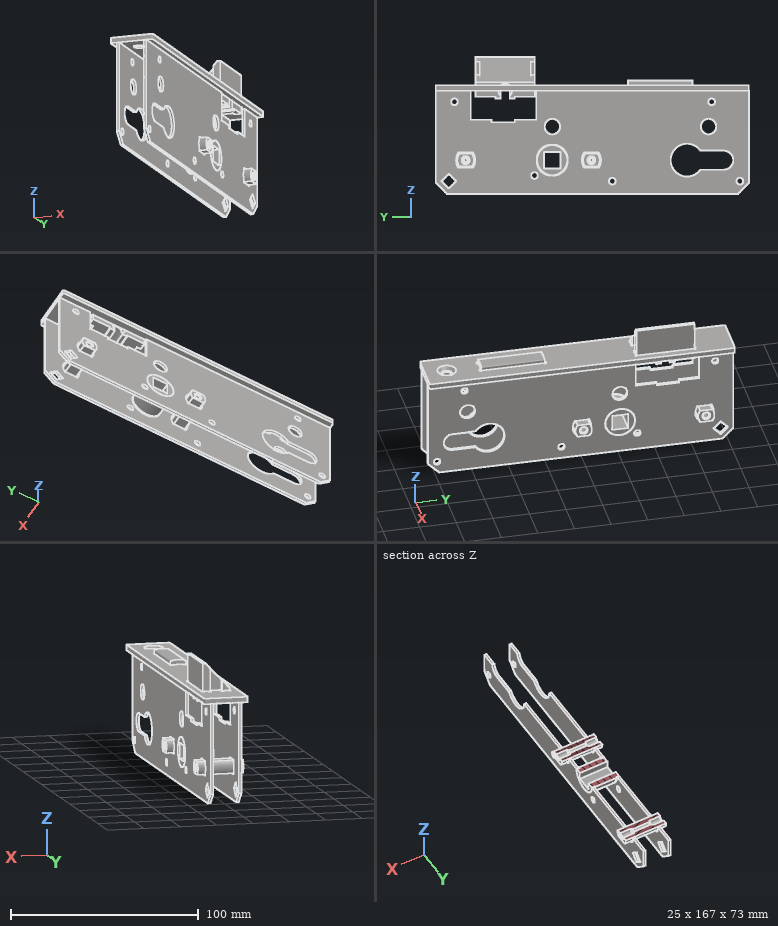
import cadquery as cq
import math


FACE_LENGTH = 166.8
FACE_WIDTH = 24.0
FACE_THICKNESS = 3.0
FACE_CORNER_RADIUS = 1.0
FACE_BOTTOM = 55.0
FACE_TOP = FACE_BOTTOM + FACE_THICKNESS
SCREW_Y = -71.5
SCREW_HOLE_DIA = 6.0
SCREW_HEAD_DIA = 10.0
SCREW_HEAD_ANGLE = 90

PLATE_LENGTH = FACE_LENGTH
PLATE_THICKNESS = 1.5
PLATE_INNER_X = 7.0
PLATE_OUTER_X = PLATE_INNER_X + PLATE_THICKNESS
PLATE_CHAMFER = 6.0
RIGHT_PLATE_SHIFT = -0.2
RIVET_HOLE_DIA = 3.5
RIVET_HOLES = [(73.5, 49.1), (-63.5, 49.1), (30.9, 9.9), (-10.5, 6.8), (-78.5, 6.8)]
ROSE_HOLE_DIA = 8.2
ROSE_HOLES = [(21.4, 35.9), (-61.8, 35.9)]
DIAMOND_Y = 76.5
DIAMOND_Z = 6.8
DIAMOND_SIDE = 5.5

WINDOW_Y_MIN = 29.9
WINDOW_Y_MAX = 64.6
WINDOW_BOTTOM = 39.5
WINDOW_STEP_Y_MIN = 41.4
WINDOW_STEP_Y_MAX = 53.6
WINDOW_STEP_DEPTH = 1.3

AXIS_Z = 18.0
KEYHOLE_Y = -50.5
KEYHOLE_RADIUS = 8.7
KEYHOLE_SLOT_WIDTH = 10.0
KEYHOLE_SLOT_END_Y = -75.0

HUB_Y = 21.4
HUB_RADIUS = 8.5
HUB_JOURNAL_RADIUS = 8.0
HUB_PLATE_HOLE_RADIUS = 8.2
HUB_BARREL_HALF_LENGTH = 6.5
HUB_SQUARE = 8.7

POST_YS = [67.5, 0.5]
POST_LENGTH = 25.0
POST_HALF_HEIGHT = 3.5
POST_HALF_WIDTH = 4.5
POST_CORNER_HALF_WIDTH = 3.3
POST_CLEARANCE = 0.5
POST_BORE_RADIUS = 0.8
POST_SOCKET_RADIUS = 1.7
POST_SOCKET_DEPTH = 6.7
POST_SINK_RADIUS = 2.2

LATCH_Y_MIN = 30.5
LATCH_Y_MAX = 62.3
LATCH_HALF_WIDTH = 7.3
LATCH_BOTTOM = 51.8
LATCH_TOP = 73.0
LATCH_TOP_X = 5.7
LATCH_BEVEL_BOTTOM = 59.5
LATCH_NOTCH_HALF_WIDTH = 3.3
LATCH_NOTCH_DEPTH = 2.3
LATCH_FOOT_LENGTH = 10.4
LATCH_FOOT_BOTTOM = 50.8
LATCH_BORE_Z = 55.1
LATCH_BORE_RADIUS = 2.3
LATCH_SINK_RADIUS = 3.7
LATCH_CENTRE_Y = (LATCH_Y_MIN + LATCH_Y_MAX) / 2
LATCH_LENGTH = LATCH_Y_MAX - LATCH_Y_MIN

LATCH_SIDE_GAP = 0.5
LATCH_END_GAP = 0.2
LATCH_RELIEF_RADIUS = 0.7

BOLT_Y_MIN = -53.5
BOLT_Y_MAX = -18.9
BOLT_HALF_WIDTH = 4.3
BOLT_BOTTOM = 43.5
BOLT_TOP = 60.5
BOLT_CROWN_HEIGHT = 1.0
BOLT_FLAT_HALF_WIDTH = 0.8
BOLT_RELIEF_RADIUS = 0.7
BOLT_RELIEF_OFFSET = 0.3
BOLT_LENGTH = BOLT_Y_MAX - BOLT_Y_MIN


def box_between(x_min, x_max, y_min, y_max, z_min, z_max):
    """Axis-aligned box given by its limits."""
    size = (x_max - x_min, y_max - y_min, z_max - z_min)
    return cq.Workplane("XY").box(*size, centered=False).translate((x_min, y_min, z_min))


def rod_along_x(x_min, x_max, y, z, radius):
    """Cylinder parallel to X."""
    return cq.Workplane("YZ", origin=(x_min, y, z)).circle(radius).extrude(x_max - x_min)


def post_prism(x_min, x_max, y, clearance=0.0):
    """Post section, flat above and below with bulging sides, extruded along X."""
    height = POST_HALF_HEIGHT + clearance
    corner = POST_CORNER_HALF_WIDTH + clearance
    width = POST_HALF_WIDTH + clearance
    return (
        cq.Workplane("YZ", origin=(x_min, y, AXIS_Z))
        .moveTo(-corner, height)
        .lineTo(corner, height)
        .threePointArc((width, 0), (corner, -height))
        .lineTo(-corner, -height)
        .threePointArc((-width, 0), (-corner, height))
        .close()
        .extrude(x_max - x_min)
    )


def corner_reliefs(centres, radius):
    """Vertical relief holes through the faceplate."""
    return (
        cq.Workplane("XY", origin=(0, 0, FACE_BOTTOM))
        .pushPoints(centres)
        .circle(radius)
        .extrude(FACE_THICKNESS)
    )


def latch_opening():
    """H-shaped opening around the notched latch, with relieved corners."""
    half_width = LATCH_HALF_WIDTH + LATCH_SIDE_GAP
    tongue = LATCH_NOTCH_HALF_WIDTH - LATCH_SIDE_GAP
    half_length = LATCH_LENGTH / 2 + LATCH_END_GAP
    tongue_tip = LATCH_LENGTH / 2 - LATCH_NOTCH_DEPTH + LATCH_END_GAP
    opening = box_between(
        -half_width, half_width, -half_length, half_length, FACE_BOTTOM, FACE_TOP
    )
    relief_centres = []
    for end in (-1, 1):
        y_limits = sorted((end * tongue_tip, end * half_length))
        opening = opening.cut(box_between(-tongue, tongue, *y_limits, FACE_BOTTOM, FACE_TOP))
        for side in (-1, 1):
            for x in (half_width - LATCH_RELIEF_RADIUS, tongue + LATCH_RELIEF_RADIUS):
                relief_centres.append((side * x, end * (half_length - LATCH_END_GAP)))
    opening = opening.union(corner_reliefs(relief_centres, LATCH_RELIEF_RADIUS))
    return opening.translate((0, LATCH_CENTRE_Y, 0))


def bolt_opening():
    """Rectangular opening that fits the deadbolt, with relieved corners."""
    opening = box_between(
        -BOLT_HALF_WIDTH, BOLT_HALF_WIDTH, BOLT_Y_MIN, BOLT_Y_MAX, FACE_BOTTOM, FACE_TOP
    )
    relief_x = BOLT_HALF_WIDTH - BOLT_RELIEF_RADIUS
    relief_ys = (BOLT_Y_MIN - BOLT_RELIEF_OFFSET, BOLT_Y_MAX + BOLT_RELIEF_OFFSET)
    centres = [(x, y) for x in (-relief_x, relief_x) for y in relief_ys]
    return opening.union(corner_reliefs(centres, BOLT_RELIEF_RADIUS))


def make_faceplate():
    plate = (
        cq.Workplane("XY", origin=(0, 0, FACE_BOTTOM))
        .rect(FACE_WIDTH, FACE_LENGTH)
        .extrude(FACE_THICKNESS)
        .edges("|Z")
        .fillet(FACE_CORNER_RADIUS)
    )
    plate = (
        plate.faces(">Z")
        .workplane(origin=(0, SCREW_Y, FACE_TOP))
        .cskHole(SCREW_HOLE_DIA, SCREW_HEAD_DIA, SCREW_HEAD_ANGLE)
    )
    return plate.cut(latch_opening()).cut(bolt_opening())


def make_side_plate(x_min, plate_shift):
    """Case side; plate_shift moves its outline and fixing holes along Y."""
    x_max = x_min + PLATE_THICKNESS
    face = cq.Workplane("YZ", origin=(x_min, plate_shift, 0))

    def through(sketch):
        return sketch.extrude(PLATE_THICKNESS)

    plate = through(face.center(0, FACE_BOTTOM / 2).rect(PLATE_LENGTH, FACE_BOTTOM))
    plate = plate.edges("|X and <Z").chamfer(PLATE_CHAMFER)

    plate = plate.cut(through(face.pushPoints(RIVET_HOLES).circle(RIVET_HOLE_DIA / 2)))
    plate = plate.cut(through(face.pushPoints(ROSE_HOLES).circle(ROSE_HOLE_DIA / 2)))

    diamond_circle = DIAMOND_SIDE * math.sqrt(2)
    plate = plate.cut(through(face.center(DIAMOND_Y, DIAMOND_Z).polygon(4, diamond_circle)))

    plate = plate.cut(
        box_between(x_min, x_max, WINDOW_Y_MIN, WINDOW_Y_MAX, WINDOW_BOTTOM, FACE_BOTTOM)
    )
    step_bottom = WINDOW_BOTTOM - WINDOW_STEP_DEPTH
    plate = plate.cut(
        box_between(x_min, x_max, WINDOW_STEP_Y_MIN, WINDOW_STEP_Y_MAX, step_bottom, WINDOW_BOTTOM)
    )

    slot_radius = KEYHOLE_SLOT_WIDTH / 2
    slot_centre_y = KEYHOLE_SLOT_END_Y + slot_radius
    slot_z = (AXIS_Z - slot_radius, AXIS_Z + slot_radius)
    plate = plate.cut(rod_along_x(x_min, x_max, KEYHOLE_Y, AXIS_Z, KEYHOLE_RADIUS))
    plate = plate.cut(rod_along_x(x_min, x_max, slot_centre_y, AXIS_Z, slot_radius))
    plate = plate.cut(box_between(x_min, x_max, slot_centre_y, KEYHOLE_Y, *slot_z))

    plate = plate.cut(rod_along_x(x_min, x_max, HUB_Y, AXIS_Z, HUB_PLATE_HOLE_RADIUS))
    for y in POST_YS:
        plate = plate.cut(post_prism(x_min, x_max, y, POST_CLEARANCE))
    return plate


def make_hub():
    """Barrel between the plates, journals flush with their outer faces, square bore."""
    barrel = rod_along_x(
        -HUB_BARREL_HALF_LENGTH, HUB_BARREL_HALF_LENGTH, HUB_Y, AXIS_Z, HUB_RADIUS
    )
    journals = rod_along_x(-PLATE_OUTER_X, PLATE_OUTER_X, HUB_Y, AXIS_Z, HUB_JOURNAL_RADIUS)
    bore = (
        cq.Workplane("YZ", origin=(-PLATE_OUTER_X, HUB_Y, AXIS_Z))
        .rect(HUB_SQUARE, HUB_SQUARE)
        .extrude(2 * PLATE_OUTER_X)
    )
    return barrel.union(journals).cut(bore)


def post_bore(y):
    """Through bore widened at each end to a socket with a conical bottom and a chamfered mouth."""
    half_length = POST_LENGTH / 2
    mouth_x = half_length - (POST_SINK_RADIUS - POST_SOCKET_RADIUS)
    socket_x = half_length - POST_SOCKET_DEPTH
    cone_tip_x = socket_x - (POST_SOCKET_RADIUS - POST_BORE_RADIUS)
    half_profile = [
        (cone_tip_x, POST_BORE_RADIUS),
        (socket_x, POST_SOCKET_RADIUS),
        (mouth_x, POST_SOCKET_RADIUS),
        (half_length, POST_SINK_RADIUS),
    ]
    mirrored_profile = [(-x, radius) for x, radius in reversed(half_profile)]
    return (
        cq.Workplane("XZ", origin=(0, y, AXIS_Z))
        .moveTo(-half_length, 0)
        .polyline(mirrored_profile + half_profile, includeCurrent=True)
        .lineTo(half_length, 0)
        .close()
        .revolve(360, (0, 0), (1, 0))
    )


def make_post(y):
    """Fixing post that passes through both side plates."""
    return post_prism(-POST_LENGTH / 2, POST_LENGTH / 2, y).cut(post_bore(y))


def make_latch():
    body = (
        cq.Workplane("XZ", origin=(0, LATCH_Y_MAX, 0))
        .moveTo(-LATCH_HALF_WIDTH, LATCH_BOTTOM)
        .lineTo(LATCH_HALF_WIDTH, LATCH_BOTTOM)
        .lineTo(LATCH_HALF_WIDTH, LATCH_TOP)
        .lineTo(LATCH_TOP_X, LATCH_TOP)
        .lineTo(-LATCH_HALF_WIDTH, LATCH_BEVEL_BOTTOM)
        .close()
        .extrude(LATCH_LENGTH)
    )

    for y in (LATCH_Y_MIN, LATCH_Y_MAX - LATCH_NOTCH_DEPTH):
        body = body.cut(
            box_between(
                -LATCH_NOTCH_HALF_WIDTH, LATCH_NOTCH_HALF_WIDTH,
                y, y + LATCH_NOTCH_DEPTH, LATCH_BOTTOM, LATCH_TOP,
            )
        )

    foot_half = LATCH_FOOT_LENGTH / 2
    foot_y = (LATCH_CENTRE_Y - foot_half, LATCH_CENTRE_Y + foot_half)
    body = body.union(
        box_between(-LATCH_HALF_WIDTH, LATCH_HALF_WIDTH, *foot_y, LATCH_FOOT_BOTTOM, LATCH_BOTTOM)
    )

    bore_y = (LATCH_CENTRE_Y - LATCH_BORE_RADIUS, LATCH_CENTRE_Y + LATCH_BORE_RADIUS)
    body = body.cut(
        rod_along_x(
            -LATCH_HALF_WIDTH, LATCH_HALF_WIDTH, LATCH_CENTRE_Y, LATCH_BORE_Z, LATCH_BORE_RADIUS
        )
    )
    body = body.cut(
        box_between(-LATCH_HALF_WIDTH, LATCH_HALF_WIDTH, *bore_y, LATCH_FOOT_BOTTOM, LATCH_BORE_Z)
    )
    sink = cq.Solid.makeCone(
        LATCH_SINK_RADIUS,
        LATCH_BORE_RADIUS,
        LATCH_SINK_RADIUS - LATCH_BORE_RADIUS,
        pnt=cq.Vector(-LATCH_HALF_WIDTH, LATCH_CENTRE_Y, LATCH_BORE_Z),
        dir=cq.Vector(1, 0, 0),
    )
    return body.cut(cq.Workplane(sink))


def make_deadbolt():
    """Bar with a narrow flat on top, rounded to each side by a quarter ellipse."""
    shoulder = BOLT_TOP - BOLT_CROWN_HEIGHT
    crown_run = BOLT_HALF_WIDTH - BOLT_FLAT_HALF_WIDTH
    return (
        cq.Workplane("XZ", origin=(0, BOLT_Y_MAX, 0))
        .moveTo(-BOLT_HALF_WIDTH, BOLT_BOTTOM)
        .lineTo(BOLT_HALF_WIDTH, BOLT_BOTTOM)
        .lineTo(BOLT_HALF_WIDTH, shoulder)
        .ellipseArc(crown_run, BOLT_CROWN_HEIGHT, 0, 90, startAtCurrent=True)
        .lineTo(-BOLT_FLAT_HALF_WIDTH, BOLT_TOP)
        .ellipseArc(crown_run, BOLT_CROWN_HEIGHT, 90, 180, startAtCurrent=True)
        .close()
        .extrude(BOLT_LENGTH)
    )


faceplate = make_faceplate()
left_plate = make_side_plate(-PLATE_OUTER_X, 0.0)
right_plate = make_side_plate(PLATE_INNER_X, RIGHT_PLATE_SHIFT)
hub = make_hub()
posts = [make_post(y) for y in POST_YS]
latch = make_latch()
deadbolt = make_deadbolt()

result = cq.Compound.makeCompound(
    [
        faceplate.val(),
        left_plate.val(),
        right_plate.val(),
        hub.val(),
        *[post.val() for post in posts],
        latch.val(),
        deadbolt.val(),
    ]
)